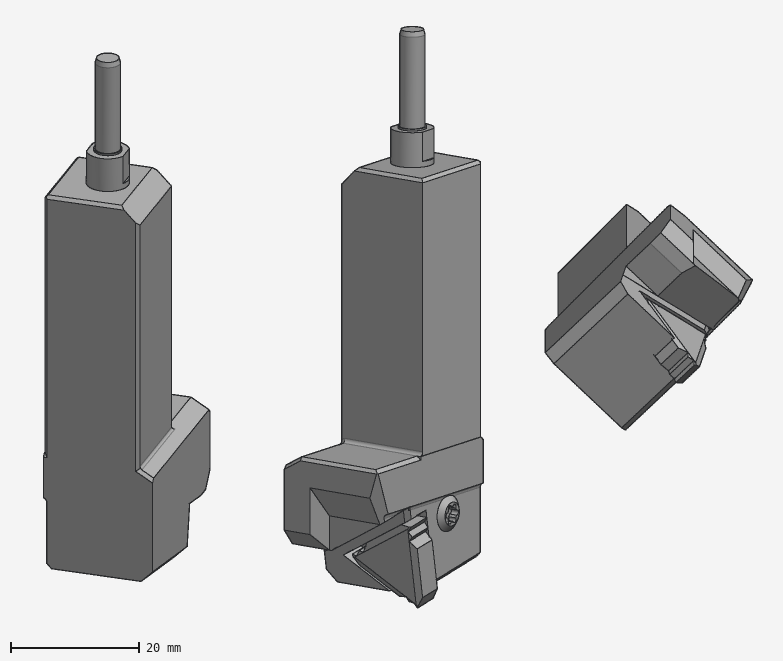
import cadquery as cq
import math

HEAD_WIDTH = 18.0
HEAD_DEPTH = 28.0
SHANK_WIDTH = 15.7
SHANK_DEPTH = 15.9
SHANK_SETBACK = 0.1
SHANK_TOP = 69.0
SHANK_CORNER_CUT = 3.0
HEAD_TOP = 24.6
LEDGE_START = 15.0
LEDGE_ANGLE = 30.0
LEDGE_SLOPE = math.tan(math.radians(LEDGE_ANGLE))
LEDGE_END_Z = HEAD_TOP - (HEAD_WIDTH - LEDGE_START) * LEDGE_SLOPE
EDGE_CHAMFER = 0.5
BASE_FILLET = 0.6
FRONT_BOTTOM = 5.1
HEAD_TOP_CHAMFER_WIDTH = 0.7

TILT = 10.0
TILT_SIN = math.sin(math.radians(TILT))
TILT_COS = math.cos(math.radians(TILT))
TILT_SLOPE = math.tan(math.radians(TILT))

ARM_TIP_BOTTOM = 12.5
ARM_CORNER_Y = 25.85
ARM_BOTTOM = 9.85
ARM_FLAT_END_Y = 23.5
ARM_BEVEL_BOTTOM_Y = 25.2
ARM_BEVEL_BOTTOM_Z = 17.2
ARM_BEVEL_ANGLE = 42.0
UNDERCUT_TOP = 20.0
UNDERCUT_KNEE = 15.4
UNDERCUT_END_X = 10.85

RELIEF_DEPTH = 0.5
RELIEF_BOTTOM = 16.4
RELIEF_RADIUS = 0.7
BOTTOM_SIDE_BEVEL = 0.8
BOTTOM_FAR_CHAMFER = 1.9

SIN60 = math.sin(math.radians(60))

INSERT_TIP_Y = 15.7
INSERT_SIDE = 16.5
INSERT_CORNERS = 3
CORNER_ANGLE = 360 / INSERT_CORNERS
INSERT_THICKNESS = 4.4
INSERT_BEVEL_DEPTH = 0.45
INSERT_BEVEL_WIDTH = 1.1
CORNER_CUT = 3.1
TEETH = [(1.5, 0.5), (2.35, 1.1), (3.25, 0.5), (4.0, 1.1), (5.2, 0)]
TIP_ALONG, TIP_DEPTH = TEETH[0]
VERTEX_BELOW_TIP = TIP_ALONG / 2 + TIP_DEPTH * SIN60
INSERT_CENTRE = (INSERT_SIDE / 2 / math.sqrt(3), INSERT_SIDE / 2 - VERTEX_BELOW_TIP)
TIP_OFFSET = INSERT_BEVEL_DEPTH * TIP_DEPTH / INSERT_BEVEL_WIDTH
INSERT_LIFT = TIP_OFFSET * TILT_SIN

CHIP_POCKET_TOP = 17.4
CHIP_POCKET_ROOF_ANGLE = 30.0
CHIP_POCKET_ROOF_SLOPE = math.tan(math.radians(CHIP_POCKET_ROOF_ANGLE))
WALL_BEVEL_WIDTH = 1.0

SCREW_Y = 8.6
SCREW_Z = 13.8
SCREW_DIAMETER = 5.8
SCREW_TOP_DIAMETER = 3.8
SCREW_PROTRUSION = 0.3
SOCKET_CORE_DIAMETER = 2.4
SOCKET_LOBE_DIAMETER = 0.8
SOCKET_DEPTH = 1.4
SOCKET_LOBES = 6

NIPPLE_X = 7.95
NIPPLE_Y = 7.9
COLLAR_DIAMETER = 6.8
COLLAR_TOP = 74.6
COLLAR_FLATS = 6.1
FLATS_BOTTOM = 69.9
NECK_DIAMETER = 4.4
NECK_HEIGHT = 0.3
TUBE_DIAMETER = 4.0
TUBE_TIP_DIAMETER = 3.5
TUBE_TOP = 90.4
TUBE_TIP_HEIGHT = 0.8

CUT_MARGIN = 4.5
PICK_SLACK = 0.1


def prism_x(points, x_start, x_end):
    """Extrude a (y, z) outline along X."""
    return cq.Workplane("YZ", origin=(x_start, 0, 0)).polyline(points).close().extrude(x_end - x_start)


def prism_y(points, y_start, y_end):
    """Extrude an (x, z) outline along Y."""
    return cq.Workplane("XZ", origin=(0, y_start, 0)).polyline(points).close().extrude(y_start - y_end)


def insert_frame(offset):
    """Workplane parallel to the insert: x is X, y climbs the insert and the normal points towards -Y."""
    inward = cq.Vector(0, -TILT_COS, TILT_SIN)
    origin = cq.Vector(0, INSERT_TIP_Y, INSERT_LIFT) + inward * offset
    return cq.Workplane(cq.Plane(origin=origin, xDir=(1, 0, 0), normal=inward))


def turned(point, step):
    """Turn a point of the insert plane about the insert centre by a number of clockwise corner steps."""
    angle = -math.radians(CORNER_ANGLE * step)
    dx = point[0] - INSERT_CENTRE[0]
    dy = point[1] - INSERT_CENTRE[1]
    return (
        INSERT_CENTRE[0] + dx * math.cos(angle) - dy * math.sin(angle),
        INSERT_CENTRE[1] + dx * math.sin(angle) + dy * math.cos(angle),
    )


def corner_outline():
    """Lower corner of the insert, from the end of its toothed side to the plain -X side."""
    points = []
    for along, depth in reversed(TEETH):
        x = along * SIN60 - depth / 2
        y = along / 2 + depth * SIN60 - VERTEX_BELOW_TIP
        points.append((x, y))
    points.append((0, CORNER_CUT - VERTEX_BELOW_TIP))
    return points


def triangle_outline():
    """The insert's three corners before truncation."""
    return [turned((0, -VERTEX_BELOW_TIP), step) for step in range(INSERT_CORNERS)]


def edge_wedge(start_x, width, depth):
    """Triangular strip that climbs the insert plane and bevels an edge of its +Y face."""
    climb = cq.Vector(0, TILT_SIN, TILT_COS)
    origin = cq.Vector(0, INSERT_TIP_Y, INSERT_LIFT) - climb * CUT_MARGIN
    return (
        cq.Workplane(cq.Plane(origin=origin, xDir=(1, 0, 0), normal=climb))
        .polyline([(start_x, 0), (start_x, depth), (start_x + width, depth)])
        .close()
        .extrude(CHIP_POCKET_TOP + CUT_MARGIN)
    )


def make_insert():
    """Toothed three-cornered plate with bevelled edges on its +Y face."""
    outline = [turned(point, step) for step in range(INSERT_CORNERS) for point in corner_outline()]
    plate = insert_frame(-INSERT_BEVEL_DEPTH).polyline(outline).close().extrude(INSERT_THICKNESS)
    wedge = edge_wedge(0, INSERT_BEVEL_WIDTH, INSERT_BEVEL_DEPTH)
    axis = insert_frame(0).plane
    axis_start = axis.toWorldCoords((*INSERT_CENTRE, 0))
    axis_end = axis.toWorldCoords((*INSERT_CENTRE, 0.9))
    for step in range(INSERT_CORNERS):
        plate = plate.cut(wedge.rotate(axis_start.toTuple(), axis_end.toTuple(), CORNER_ANGLE * step))
    return plate


def make_head():
    """Head with its sloping +X ledge and chamfered +Y top edges."""
    outline = [(0, 0), (0, HEAD_TOP), (LEDGE_START, HEAD_TOP), (HEAD_WIDTH, LEDGE_END_Z), (HEAD_WIDTH, 0)]
    head = prism_y(outline, 0, HEAD_DEPTH)
    top_back_edges = cq.selectors.BoxSelector(
        (0, HEAD_DEPTH - PICK_SLACK, LEDGE_END_Z),
        (HEAD_WIDTH, HEAD_DEPTH + PICK_SLACK, HEAD_TOP + PICK_SLACK),
    )
    return head.edges(top_back_edges).chamfer(EDGE_CHAMFER)


def make_block():
    """Shank and head with their common ledge, edge chamfers and base fillets."""
    shank = cq.Workplane("XY").box(
        SHANK_WIDTH - SHANK_SETBACK, SHANK_DEPTH, SHANK_TOP, centered=False
    ).translate((SHANK_SETBACK, 0, 0))
    block = make_head().union(shank)
    front_edges = cq.selectors.BoxSelector(
        (SHANK_SETBACK / 2, -PICK_SLACK, LEDGE_END_Z), (HEAD_WIDTH, PICK_SLACK, SHANK_TOP + PICK_SLACK)
    )
    block = block.edges(front_edges).chamfer(EDGE_CHAMFER)
    block = block.faces(">Z").edges("<X or >Y").chamfer(EDGE_CHAMFER)
    base_edges = cq.selectors.BoxSelector(
        (EDGE_CHAMFER, EDGE_CHAMFER, LEDGE_END_Z + PICK_SLACK),
        (SHANK_WIDTH + PICK_SLACK, SHANK_DEPTH + PICK_SLACK, HEAD_TOP + PICK_SLACK),
    )
    block = block.edges(base_edges).fillet(BASE_FILLET)
    corner = prism_y(
        [
            (SHANK_WIDTH - SHANK_CORNER_CUT, SHANK_TOP),
            (SHANK_WIDTH, SHANK_TOP),
            (SHANK_WIDTH, SHANK_TOP - SHANK_CORNER_CUT),
        ],
        0,
        SHANK_DEPTH,
    )
    side_bevel = prism_y(
        [(0, HEAD_TOP - EDGE_CHAMFER), (HEAD_TOP_CHAMFER_WIDTH, HEAD_TOP), (0, HEAD_TOP)],
        SHANK_DEPTH + BASE_FILLET,
        HEAD_DEPTH,
    )
    return block.cut(corner).cut(side_bevel)


def cut_underside(block):
    """Trim the head to its tilted bottom, the wall beside the insert and the underside of the arm."""
    def wall_y(z):
        return INSERT_TIP_Y + INSERT_BEVEL_DEPTH / TILT_COS + z * TILT_SLOPE

    corner_y = (wall_y(0) + FRONT_BOTTOM * TILT_SLOPE) / (1 + TILT_SLOPE**2)
    corner_z = FRONT_BOTTOM - corner_y * TILT_SLOPE
    arm_root_z = ARM_BOTTOM + (ARM_FLAT_END_Y - wall_y(ARM_BOTTOM)) * TILT_SLOPE
    waste = prism_x(
        [
            (0, FRONT_BOTTOM),
            (corner_y, corner_z),
            (wall_y(arm_root_z), arm_root_z),
            (ARM_FLAT_END_Y, ARM_BOTTOM),
            (ARM_CORNER_Y, ARM_BOTTOM),
            (HEAD_DEPTH, ARM_TIP_BOTTOM),
            (HEAD_DEPTH, -CUT_MARGIN),
            (0, -CUT_MARGIN),
        ],
        0,
        HEAD_WIDTH,
    )
    block = block.cut(waste)

    arc_centre_x = RELIEF_DEPTH - RELIEF_RADIUS
    relief_top = RELIEF_BOTTOM + math.sqrt(RELIEF_RADIUS**2 - arc_centre_x**2)
    mid_angle = math.acos(-arc_centre_x / RELIEF_RADIUS) / 2
    arc_middle = (
        arc_centre_x + RELIEF_RADIUS * math.cos(mid_angle),
        RELIEF_BOTTOM + RELIEF_RADIUS * math.sin(mid_angle),
    )
    relief = (
        cq.Workplane("XZ")
        .moveTo(0, relief_top)
        .threePointArc(arc_middle, (RELIEF_DEPTH, RELIEF_BOTTOM))
        .lineTo(RELIEF_DEPTH, 0)
        .lineTo(0, 0)
        .close()
        .extrude(-HEAD_DEPTH)
    )
    block = block.cut(relief)

    bottom = cq.Workplane(
        cq.Plane(
            origin=(0, 0, FRONT_BOTTOM),
            xDir=(1, 0, 0),
            normal=(0, -TILT_COS, TILT_SIN),
        )
    ).workplane(offset=-corner_y / TILT_COS)
    near = [(RELIEF_DEPTH, 0), (RELIEF_DEPTH + BOTTOM_SIDE_BEVEL, 0), (RELIEF_DEPTH, BOTTOM_SIDE_BEVEL)]
    far = [(HEAD_WIDTH, 0), (HEAD_WIDTH - BOTTOM_FAR_CHAMFER, 0), (HEAD_WIDTH, BOTTOM_FAR_CHAMFER)]
    for triangle in (near, far):
        block = block.cut(bottom.polyline(triangle).close().extrude(HEAD_DEPTH))
    return block


def cut_arm(block):
    """Shape the arm's +Y end and mill the sloping chip pocket beneath it."""
    end_drop = HEAD_DEPTH - ARM_CORNER_Y
    undercut = prism_x(
        [
            (HEAD_DEPTH, UNDERCUT_TOP),
            (ARM_CORNER_Y, UNDERCUT_KNEE),
            (ARM_CORNER_Y, 0),
            (HEAD_DEPTH, 0),
        ],
        0,
        UNDERCUT_END_X + end_drop,
    )
    undercut_plan = (
        cq.Workplane("XY")
        .polyline(
            [
                (0, ARM_CORNER_Y),
                (UNDERCUT_END_X, ARM_CORNER_Y),
                (UNDERCUT_END_X + end_drop, HEAD_DEPTH),
                (0, HEAD_DEPTH),
            ]
        )
        .close()
        .extrude(HEAD_TOP)
    )
    block = block.cut(undercut.intersect(undercut_plan))

    run = HEAD_DEPTH - ARM_BEVEL_BOTTOM_Y
    rise = HEAD_TOP - ARM_BEVEL_BOTTOM_Z
    length = math.hypot(run, rise)
    along_edge = cq.Vector(0, -run / length, -rise / length)
    bevel_out = CUT_MARGIN
    bevel_depth = bevel_out * math.tan(math.radians(ARM_BEVEL_ANGLE))
    bevel_plane = cq.Plane(
        origin=cq.Vector(0, HEAD_DEPTH, HEAD_TOP) - along_edge * CUT_MARGIN,
        xDir=(0, rise / length, -run / length),
        normal=along_edge,
    )
    bevel = (
        cq.Workplane(bevel_plane)
        .polyline([(0, 0), (bevel_out, bevel_depth), (bevel_out, 0)])
        .close()
        .extrude(HEAD_TOP)
    )
    bevel = bevel.intersect(cq.Workplane("XY").box(HEAD_WIDTH, HEAD_DEPTH, HEAD_TOP, centered=False))
    block = block.cut(bevel)

    pocket_end_x = CHIP_POCKET_TOP / CHIP_POCKET_ROOF_SLOPE
    pocket = (
        insert_frame(-INSERT_BEVEL_DEPTH)
        .polyline([(0, CHIP_POCKET_TOP), (pocket_end_x, 0), (0, 0)])
        .close()
        .extrude(-HEAD_DEPTH)
    )
    beyond_corner = cq.Workplane("XY", origin=(0, ARM_CORNER_Y, 0)).box(
        pocket_end_x, HEAD_DEPTH, HEAD_TOP, centered=False
    )
    block = block.cut(pocket.cut(beyond_corner))
    return block.cut(edge_wedge(RELIEF_DEPTH, WALL_BEVEL_WIDTH, INSERT_BEVEL_DEPTH))


def cut_insert_seat(block):
    """Cut the seat as the insert's full triangle, which leaves gaps around its teeth."""
    seat = insert_frame(-INSERT_BEVEL_DEPTH).polyline(triangle_outline()).close().extrude(INSERT_THICKNESS)
    return block.cut(seat)


def add_screw(block):
    """Tapered screw head with a six-lobed socket."""
    top_x = -SCREW_PROTRUSION
    head = (
        cq.Workplane("YZ", origin=(top_x, SCREW_Y, SCREW_Z)).circle(SCREW_TOP_DIAMETER / 2)
        .workplane(offset=SCREW_PROTRUSION + RELIEF_DEPTH).circle(SCREW_DIAMETER / 2).loft()
    )
    socket_plane = cq.Workplane("YZ", origin=(top_x, SCREW_Y, SCREW_Z))
    socket = socket_plane.circle(SOCKET_CORE_DIAMETER / 2).extrude(SOCKET_DEPTH)
    lobes = (
        socket_plane.polarArray(SOCKET_CORE_DIAMETER / 2, 0, 360, SOCKET_LOBES)
        .circle(SOCKET_LOBE_DIAMETER / 2).extrude(SOCKET_DEPTH)
    )
    return block.union(head).cut(socket).cut(lobes)


def make_nipple():
    """Collar with two flats, a short neck and a chamfered tube."""
    base = cq.Workplane("XY", origin=(NIPPLE_X, NIPPLE_Y, SHANK_TOP))
    nipple = base.circle(COLLAR_DIAMETER / 2).extrude(COLLAR_TOP - SHANK_TOP)
    flats = (
        base.workplane(offset=FLATS_BOTTOM - SHANK_TOP)
        .rect(2 * COLLAR_DIAMETER, 2 * COLLAR_DIAMETER).rect(COLLAR_FLATS, 2 * COLLAR_DIAMETER)
        .extrude(COLLAR_TOP - FLATS_BOTTOM)
    )
    nipple = nipple.cut(flats)
    neck = base.workplane(offset=COLLAR_TOP - SHANK_TOP).circle(NECK_DIAMETER / 2).extrude(NECK_HEIGHT)
    tube = base.circle(TUBE_DIAMETER / 2).extrude(TUBE_TOP - SHANK_TOP)
    tube = tube.faces(">Z").chamfer(TUBE_TIP_HEIGHT, (TUBE_DIAMETER - TUBE_TIP_DIAMETER) / 2)
    return nipple.union(neck).union(tube)


insert = make_insert()
holder = make_block()
holder = cut_underside(holder)
holder = cut_arm(holder)
holder = cut_insert_seat(holder)
holder = add_screw(holder)
holder = holder.union(make_nipple())

result = cq.Compound.makeCompound([holder.val(), insert.val()])